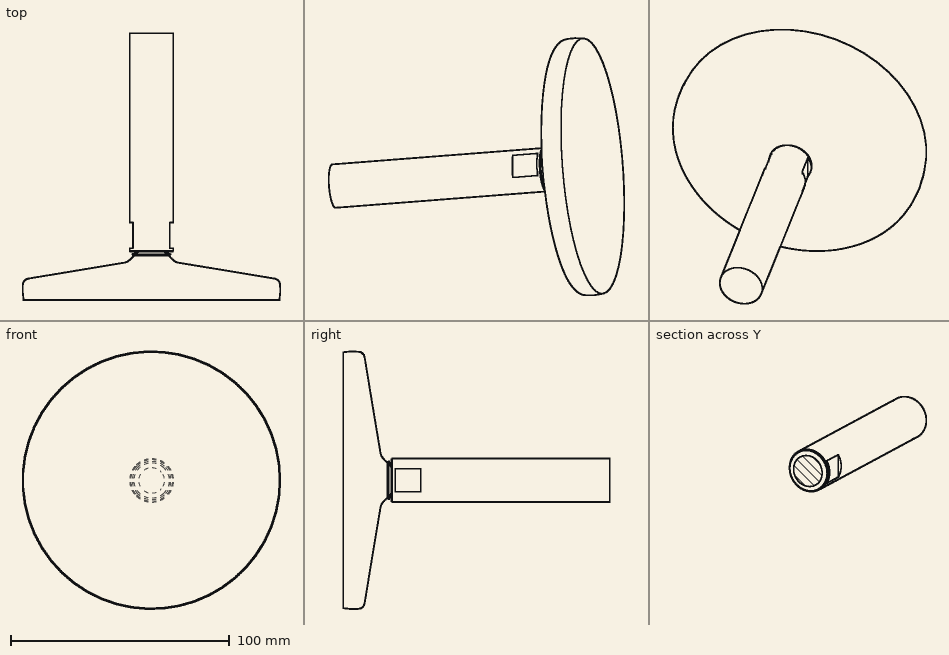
import cadquery as cq
import math

overall_length = 122.0

foot_diameter = 118.0
sole_diameter = 117.1
shoulder_diameter = 117.5
widest_y = 4.0
shoulder_y = 9.5
cone_slope = 9.4
rim_fillet = 3.0
boss_base_radius = 11.0
boss_blend = 4.0
seat_radius = 8.0
seat_y = 20.3

shaft_diameter = 20.0
shaft_start_y = 22.1
shaft_chamfer = 0.5
neck_radius = 5.9
lip_radius = 8.8
lip_y = 21.0

across_flats = 17.0
flats_start_y = 23.8
flats_length = 11.7


def turn(profile):
    """Revolve (radius, Y) points about the Y axis into a solid."""
    return cq.Workplane("XY").polyline(profile).close().revolve(360, (0, 0), (0, 1))


def ring_edge(y):
    """Select the circular edge whose centre lies on the axis at height y."""
    return cq.selectors.NearestToPointSelector((0, y, 0))


def make_foot():
    """Shallow conical disc with a rounded rim and a small central boss."""
    shoulder_radius = shoulder_diameter / 2
    cone_rise = (shoulder_radius - boss_base_radius) * math.tan(math.radians(cone_slope))
    boss_base_y = shoulder_y + cone_rise
    foot = turn([
        (0, 0),
        (sole_diameter / 2, 0),
        (foot_diameter / 2, widest_y),
        (shoulder_radius, shoulder_y),
        (boss_base_radius, boss_base_y),
        (seat_radius, seat_y),
        (0, seat_y),
    ])
    foot = foot.edges(ring_edge(shoulder_y)).fillet(rim_fillet)
    return foot.edges(ring_edge(boss_base_y)).fillet(boss_blend)


def make_stud():
    """Shaft with a necked, flared end resting on the boss, and two wrench flats."""
    shaft_radius = shaft_diameter / 2
    stud = turn([
        (0, seat_y),
        (seat_radius, seat_y),
        (lip_radius, lip_y),
        (neck_radius, shaft_start_y),
        (shaft_radius - shaft_chamfer, shaft_start_y),
        (shaft_radius, shaft_start_y + shaft_chamfer),
        (shaft_radius, overall_length),
        (0, overall_length),
    ])
    flats_centre_y = flats_start_y + flats_length / 2
    for side in (-1, 1):
        cutter_x = side * (across_flats + shaft_diameter) / 2
        cutter = cq.Workplane("XY").box(shaft_diameter, flats_length, shaft_diameter)
        stud = stud.cut(cutter.translate((cutter_x, flats_centre_y, 0)))
    return stud


foot = make_foot()
stud = make_stud()

result = cq.Compound.makeCompound([foot.val(), stud.val()])